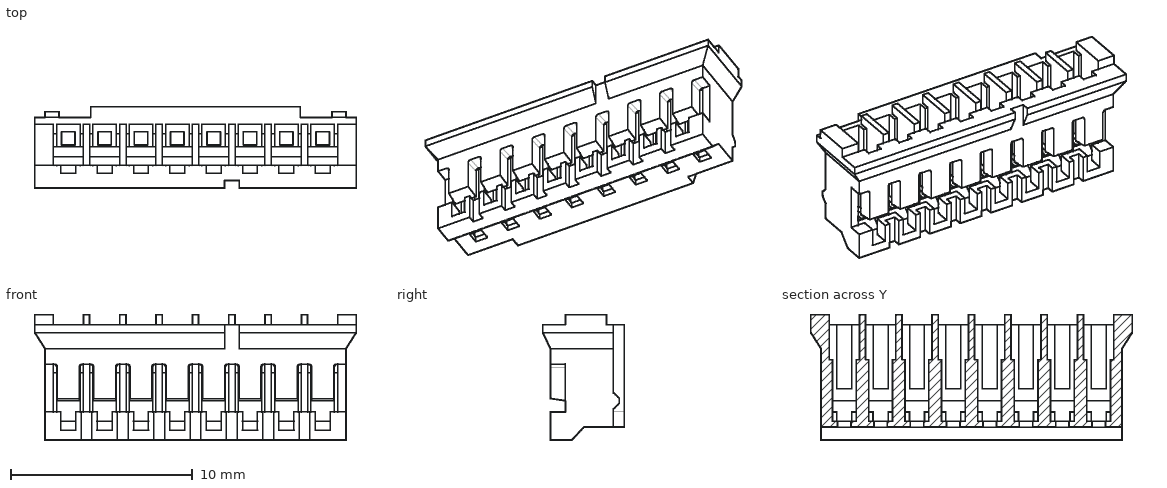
import cadquery as cq

cavity_count = 8
pitch = 2.0
lip_length = 17.7
body_length = 16.57
body_depth = 3.47
rim_height = 6.35
top_height = 6.9

lip_overhang = 0.42
flare_bottom = 5.03
flare_top = 5.91
key_width = 0.8
key_x = pitch

back_bottom = 0.7
foot_depth = 1.19
foot_slope_end = 1.84

cavity_front = 0.83
cavity_back = 3.1
divider_width = 0.35
cavity_width = pitch - divider_width
channel_width = 1.3
jamb_front = 1.85
jamb_recess = 2.57
jamb_slope_bottom = 3.7
jamb_slope_top = 4.53
trough_floor = 0.53
trough_depth = 1.31
channel_floor = 1.05
pin_hole = 0.73
pin_hole_y = 2.32

lance_width = 0.81
lance_front = 0.4
lance_floor_front = 2.81
lance_floor_back = 2.83

window_bottom = 1.55
window_top = 4.18
window_corner = 0.16
window_front_width = 0.8
window_back_width = pitch - channel_width
tongue_front_bottom = 2.28
tongue_back_bottom = 2.16

relief_width = 0.6
relief_depth = 0.42

rail_length = 11.54
rail_back = 4.07
rail_taper_top = 1.6
rail_taper = 0.28
bump_width = 0.78
bump_x = (body_length - bump_width) / 2
bump_height = 0.32
bump_bottom = 1.7
bump_flat_bottom = 2.02
bump_flat_top = 2.3
bump_top = 2.62

cavity_centers = [(i - (cavity_count - 1) / 2) * pitch for i in range(cavity_count)]
divider_centers = [x + pitch / 2 for x in cavity_centers[:-1]]
window_centers = [x - pitch / 2 for x in cavity_centers] + [cavity_centers[-1] + pitch / 2]
end_block_x = cavity_centers[-1] + cavity_width / 2


def block(x_range, y_range, z_range):
    """Box between two limits on each axis."""
    (x0, x1), (y0, y1), (z0, z1) = x_range, y_range, z_range
    return cq.Workplane("XY").box(x1 - x0, y1 - y0, z1 - z0, centered=False).translate((x0, y0, z0))


def around(center, width):
    """Limits of a width centred on a place."""
    return center - width / 2, center + width / 2


def side_profile(points, center, width):
    """Outline of (y, z) points extruded along X about a centre."""
    return (
        cq.Workplane("YZ").polyline(points).close()
        .extrude(width / 2, both=True).translate((center, 0, 0))
    )


def make_body():
    outline = [
        (0, 0),
        (foot_depth, 0),
        (foot_slope_end, back_bottom),
        (body_depth, back_bottom),
        (body_depth, rim_height),
        (0, rim_height),
    ]
    return side_profile(outline, 0, body_length)


def make_lip():
    front = [
        (0, flare_bottom),
        (-lip_overhang, flare_top),
        (-lip_overhang, rim_height),
        (body_depth, rim_height),
        (body_depth, flare_bottom),
    ]
    ends = [
        (-body_length / 2, flare_bottom),
        (-lip_length / 2, flare_top),
        (-lip_length / 2, rim_height),
        (lip_length / 2, rim_height),
        (lip_length / 2, flare_top),
        (body_length / 2, flare_bottom),
    ]
    end_prism = (
        cq.Workplane("XZ", origin=(0, body_depth, 0)).polyline(ends).close()
        .extrude(body_depth + lip_overhang)
    )
    key = block(around(key_x, key_width), (-lip_overhang, 0), (flare_bottom, rim_height))
    return side_profile(front, 0, lip_length).intersect(end_prism).cut(key)


def make_rail():
    half = rail_length / 2
    outline = [
        (-half + rail_taper, back_bottom),
        (-half, rail_taper_top),
        (-half, rim_height),
        (half, rim_height),
        (half, rail_taper_top),
        (half - rail_taper, back_bottom),
    ]
    return (
        cq.Workplane("XZ", origin=(0, rail_back, 0)).polyline(outline).close()
        .extrude(rail_back - body_depth)
    )


def make_bump(x):
    outline = [
        (body_depth, bump_bottom),
        (body_depth + bump_height, bump_flat_bottom),
        (body_depth + bump_height, bump_flat_top),
        (body_depth, bump_top),
    ]
    return side_profile(outline, x, bump_width)


def make_top_row():
    """End blocks and dividers standing above the rim."""
    y_range = (cavity_front, cavity_back)
    z_range = (rim_height, top_height)
    row = block((-lip_length / 2, -end_block_x), y_range, z_range)
    row = row.union(block((end_block_x, lip_length / 2), y_range, z_range))
    for x in divider_centers:
        row = row.union(block(around(x, divider_width), y_range, z_range))
    return row


def make_cavity(x):
    """Everything removed for one contact."""
    wide = [
        (cavity_front, trough_floor),
        (trough_depth, trough_floor),
        (jamb_front, channel_floor),
        (jamb_front, jamb_slope_bottom),
        (jamb_recess, jamb_slope_top),
        (jamb_recess, rim_height),
        (cavity_front, rim_height),
    ]
    lance = [
        (lance_front, lance_floor_front),
        (cavity_front, lance_floor_back),
        (cavity_front, rim_height),
        (lance_front, rim_height),
    ]
    channel = block(around(x, channel_width), (jamb_front, cavity_back), (channel_floor, rim_height))
    hole = block(around(x, pin_hole), around(pin_hole_y, pin_hole), (0, channel_floor))
    notch = block(around(x, lance_width), (0, cavity_front), (trough_floor, window_bottom))
    return (
        side_profile(wide, x, cavity_width)
        .union(side_profile(lance, x, lance_width))
        .union(channel)
        .union(hole)
        .union(notch)
    )


def make_window(x):
    """Slot beside a tongue, narrowing toward the back, with round top corners."""
    outline = [
        (x - window_front_width / 2, 0),
        (x + window_front_width / 2, 0),
        (x + window_back_width / 2, cavity_front),
        (x - window_back_width / 2, cavity_front),
    ]
    slot = (
        cq.Workplane("XY", origin=(0, 0, window_bottom)).polyline(outline).close()
        .extrude(window_top - window_bottom)
    )
    return slot.faces(">Z").edges("not |X").fillet(window_corner)


def make_front_openings():
    under_tongues = [
        (0, window_bottom),
        (cavity_front, window_bottom),
        (cavity_front, tongue_back_bottom),
        (0, tongue_front_bottom),
    ]
    openings = side_profile(under_tongues, 0, body_length)
    for x in window_centers:
        openings = openings.union(make_window(x))
    y_range = (0, cavity_front)
    z_range = (window_bottom, window_top)
    openings = openings.union(block((-lip_length / 2, window_centers[0]), y_range, z_range))
    return openings.union(block((window_centers[-1], lip_length / 2), y_range, z_range))


housing = make_body().union(make_lip()).union(make_rail()).union(make_top_row())
for x in (-bump_x, bump_x):
    housing = housing.union(make_bump(x))
housing = housing.cut(make_front_openings())
for x in cavity_centers:
    housing = housing.cut(make_cavity(x))
for x in divider_centers:
    housing = housing.cut(block(around(x, relief_width), (0, relief_depth), (0, window_bottom)))

result = housing